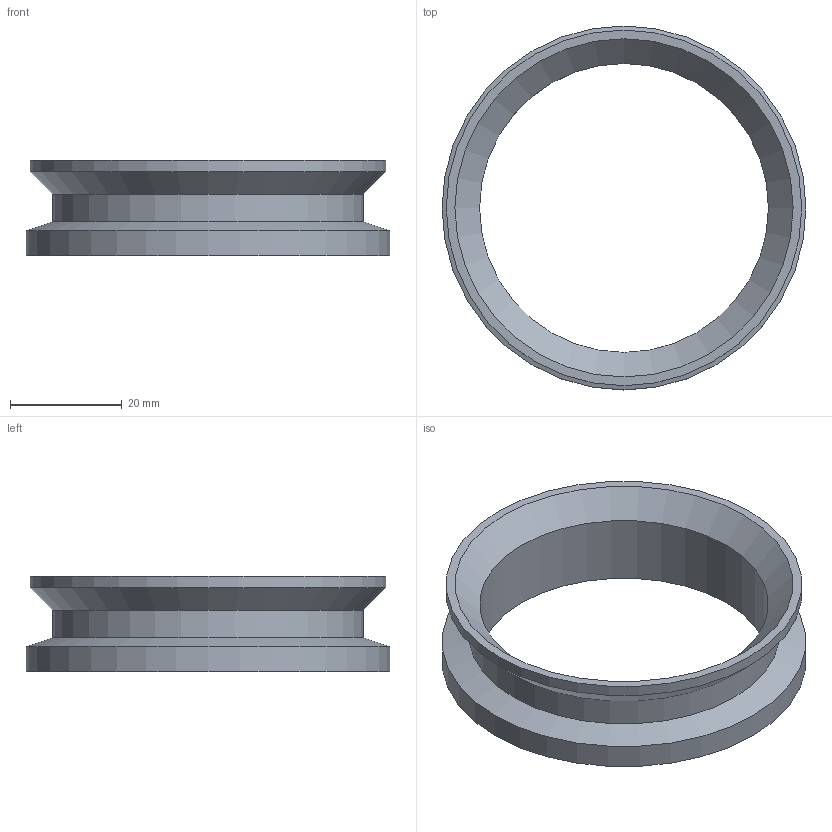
import cadquery as cq

flange_diameter = 65.0
rim_diameter = 63.5
neck_diameter = 55.51
bore_diameter = 51.6
mouth_diameter = 60.4

flange_top = 4.4
neck_bottom = 6.0
neck_top = 11.0
rim_bottom = 15.0
total_height = 17.0

mouth_depth = (mouth_diameter - bore_diameter) / 2


def ring_section():
    """Half section of the ring in the XZ plane, at positive X."""
    flange_radius = flange_diameter / 2
    rim_radius = rim_diameter / 2
    neck_radius = neck_diameter / 2
    bore_radius = bore_diameter / 2
    mouth_radius = mouth_diameter / 2
    outline = [
        (bore_radius, 0),
        (flange_radius, 0),
        (flange_radius, flange_top),
        (neck_radius, neck_bottom),
        (neck_radius, neck_top),
        (rim_radius, rim_bottom),
        (rim_radius, total_height),
        (mouth_radius, total_height),
        (bore_radius, total_height - mouth_depth),
    ]
    return cq.Workplane("XZ").polyline(outline).close()


result = ring_section().revolve(360, (0, 0, 0), (0, 1, 0))